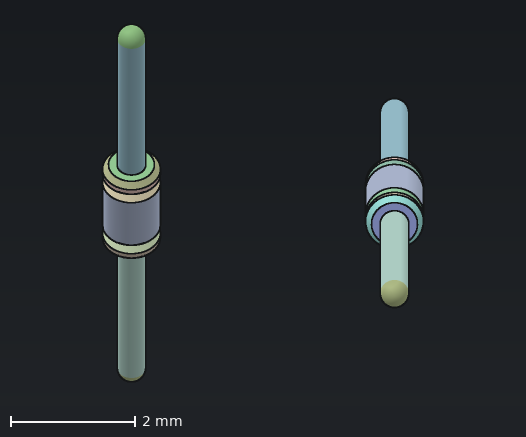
import cadquery as cq

total_length = 8.15
collar_diameter = 0.94
pin_diameter = 0.465
collar_stack_height = 1.79
ring_height = 0.3
edge_chamfer = 0.1

pin_radius = pin_diameter / 2
pin_length = (total_length - collar_stack_height) / 2
sleeve_height = collar_stack_height - 2 * ring_height
ring_offset = (sleeve_height + ring_height) / 2


def make_collar(height, center_z):
    """Cylinder with both rims chamfered, centred at center_z."""
    return (
        cq.Workplane("XY")
        .cylinder(height, collar_diameter / 2)
        .edges("%CIRCLE")
        .chamfer(edge_chamfer)
        .translate((0, 0, center_z))
    )


def make_sleeve():
    return make_collar(sleeve_height, 0)


def make_ring(side):
    """Ring above (side = 1) or below (side = -1) the sleeve."""
    return make_collar(ring_height, side * ring_offset)


def make_pin(side):
    """Pin standing on a ring's outer face, with a hemispherical free end."""
    base_z = side * collar_stack_height / 2
    shoulder_z = base_z + side * (pin_length - pin_radius)
    tip_z = base_z + side * pin_length
    arc_rise = pin_radius / 2**0.5
    return (
        cq.Workplane("XZ")
        .moveTo(0, base_z)
        .lineTo(pin_radius, base_z)
        .lineTo(pin_radius, shoulder_z)
        .threePointArc((arc_rise, shoulder_z + side * arc_rise), (0, tip_z))
        .close()
        .revolve(360, (0, 0), (0, 1))
    )


sides = (1, -1)
sleeve = make_sleeve()
rings = [make_ring(side).val() for side in sides]
pins = [make_pin(side).val() for side in sides]

result = cq.Compound.makeCompound([sleeve.val(), *rings, *pins])